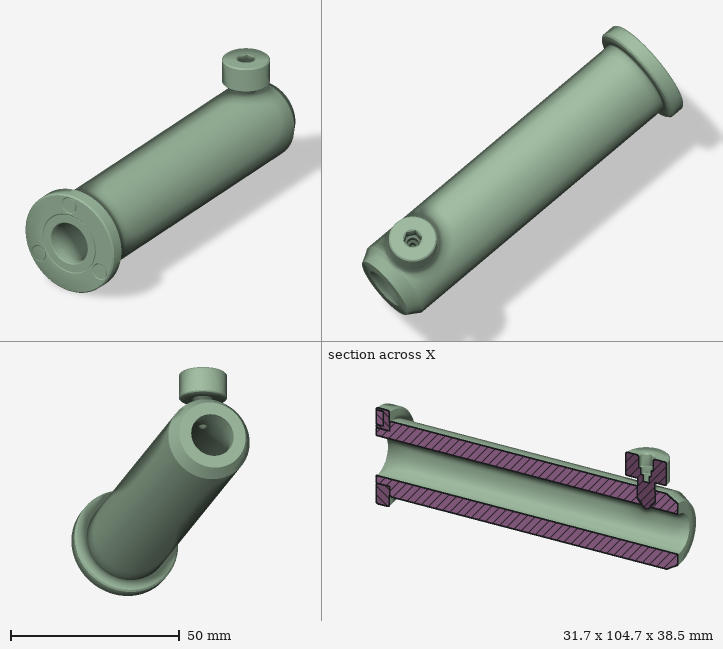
import cadquery as cq
import math

TUBE_LENGTH = 104.7
TUBE_RADIUS = 12.5
BORE_RADIUS = 6.5
BORE_CHAMFER = 0.2
SPIGOT_RADIUS = 9.2
SHOULDER_CHAMFER = 0.5
LEAD_IN_LENGTH = 4.0
LEAD_IN_ANGLE = 30.0
LEAD_IN_RADIUS = TUBE_RADIUS - LEAD_IN_LENGTH * math.tan(math.radians(LEAD_IN_ANGLE))

FLANGE_RADIUS = 15.86
FLANGE_THICKNESS = 4.7
FLANGE_FRONT_CHAMFER = 0.4
FLANGE_BACK_CHAMFER = 0.5
FLANGE_HOLE_CHAMFER = 0.3

PIN_COUNT = 3
PIN_RADIUS = 2.3
PIN_CIRCLE_RADIUS = 12.6
PIN_DEPTH = FLANGE_THICKNESS / 2
PIN_HOLE_CHAMFER = 0.3

SCREW_Y = TUBE_LENGTH - 11.1
OVERALL_HEIGHT = 38.5
HEAD_TOP = OVERALL_HEIGHT - FLANGE_RADIUS
HEAD_HEIGHT = 7.7
HEAD_BOTTOM = HEAD_TOP - HEAD_HEIGHT
HEAD_RADIUS = 7.1
HEAD_TOP_CHAMFER = 0.4
HEAD_BOTTOM_CHAMFER = 0.3
SHANK_RADIUS = 3.0
TIP_RADIUS = 1.5
TIP_REACH = 0.9
TIP_BOTTOM = BORE_RADIUS - TIP_REACH
DOME_TOP = TIP_BOTTOM + TIP_RADIUS
SHOULDER_TOP = DOME_TOP + SHANK_RADIUS - TIP_RADIUS
SOCKET_CORNER_RADIUS = 2.8
SOCKET_DEPTH = 4.0
SOCKET_COUNTERSINK_RADIUS = 2.9
PILOT_RADIUS = 1.8
PILOT_DEPTH = 2.1
PILOT_TIP_RADIUS = 0.9
PILOT_TIP_DEPTH = 2.1


def revolve_about_y(points):
    """Turn a closed outline of (radius, y) points about the tube axis."""
    return cq.Workplane("XY").polyline(points).close().revolve(360, (0, 0, 0), (0, 1, 0))


def cylinder_along_y(radius, length):
    """Cylinder about the tube axis, from the front face inwards."""
    return cq.Workplane("XZ").circle(radius).extrude(-length)


def pin_places():
    """(x, z) of each pin, the first one straight above the axis."""
    angles = [math.radians(90 + 360 / PIN_COUNT * i) for i in range(PIN_COUNT)]
    return [(PIN_CIRCLE_RADIUS * math.cos(a), PIN_CIRCLE_RADIUS * math.sin(a)) for a in angles]


def make_pin(x, z):
    """Plain pin, flush with the flange face."""
    return cylinder_along_y(PIN_RADIUS, PIN_DEPTH).translate((x, 0, z))


def make_pin_hole(x, z):
    """Cutter for one pin hole, widened at its mouth."""
    hole = revolve_about_y([
        (0, 0),
        (PIN_RADIUS + PIN_HOLE_CHAMFER, 0),
        (PIN_RADIUS, PIN_HOLE_CHAMFER),
        (PIN_RADIUS, PIN_DEPTH),
        (0, PIN_DEPTH),
    ])
    return hole.translate((x, 0, z))


def make_flange():
    """Flange disc with the spigot opening and the pin holes."""
    flange = cylinder_along_y(FLANGE_RADIUS, FLANGE_THICKNESS)
    flange = flange.faces("<Y").chamfer(FLANGE_FRONT_CHAMFER)
    flange = flange.faces(">Y").chamfer(FLANGE_BACK_CHAMFER)
    opening = revolve_about_y([
        (0, 0),
        (SPIGOT_RADIUS + FLANGE_HOLE_CHAMFER, 0),
        (SPIGOT_RADIUS, FLANGE_HOLE_CHAMFER),
        (SPIGOT_RADIUS, FLANGE_THICKNESS),
        (0, FLANGE_THICKNESS),
    ])
    flange = flange.cut(opening)
    for x, z in pin_places():
        flange = flange.cut(make_pin_hole(x, z))
    return flange


def make_screw_shank():
    """Shank with a domed tip and a 45 degree shoulder, up to the underside of the head."""
    shank = (
        cq.Workplane("XZ")
        .moveTo(0, TIP_BOTTOM)
        .radiusArc((TIP_RADIUS, DOME_TOP), -TIP_RADIUS)
        .lineTo(SHANK_RADIUS, SHOULDER_TOP)
        .lineTo(SHANK_RADIUS, HEAD_BOTTOM)
        .lineTo(0, HEAD_BOTTOM)
        .close()
        .revolve(360, (0, 0, 0), (0, 1, 0))
    )
    return shank.translate((0, SCREW_Y, 0))


def make_screw():
    """Socket-head screw: hexagon socket with a countersunk mouth and a stepped pilot hole."""
    head = cq.Workplane("XY", origin=(0, SCREW_Y, HEAD_BOTTOM)).circle(HEAD_RADIUS).extrude(HEAD_HEIGHT)
    head = head.faces(">Z").chamfer(HEAD_TOP_CHAMFER).faces("<Z").chamfer(HEAD_BOTTOM_CHAMFER)

    head_top = cq.Workplane("XY", origin=(0, SCREW_Y, HEAD_TOP))
    socket = head_top.polygon(6, 2 * SOCKET_CORNER_RADIUS).extrude(-SOCKET_DEPTH)
    countersink = head_top.circle(SOCKET_COUNTERSINK_RADIUS).extrude(-SOCKET_COUNTERSINK_RADIUS, taper=45)
    socket_floor = head_top.workplane(offset=-SOCKET_DEPTH)
    pilot = socket_floor.circle(PILOT_RADIUS).extrude(-PILOT_DEPTH)
    pilot_tip = socket_floor.circle(PILOT_TIP_RADIUS).extrude(-PILOT_DEPTH - PILOT_TIP_DEPTH)
    pilot = pilot.union(pilot_tip)
    return head.union(make_screw_shank()).cut(socket).cut(countersink).cut(pilot)


def make_tube():
    """Bored tube with a front spigot and a seat shaped to the screw shank."""
    tube = revolve_about_y([
        (BORE_RADIUS + BORE_CHAMFER, 0),
        (SPIGOT_RADIUS, 0),
        (SPIGOT_RADIUS, FLANGE_THICKNESS),
        (TUBE_RADIUS - SHOULDER_CHAMFER, FLANGE_THICKNESS),
        (TUBE_RADIUS, FLANGE_THICKNESS + SHOULDER_CHAMFER),
        (TUBE_RADIUS, TUBE_LENGTH - LEAD_IN_LENGTH),
        (LEAD_IN_RADIUS, TUBE_LENGTH),
        (BORE_RADIUS, TUBE_LENGTH),
        (BORE_RADIUS, BORE_CHAMFER),
    ])
    return tube.cut(make_screw_shank())


tube = make_tube()
flange = make_flange()
screw = make_screw()
pins = [make_pin(x, z) for x, z in pin_places()]

result = cq.Compound.makeCompound([
    tube.val(),
    flange.val(),
    screw.val(),
    *[pin.val() for pin in pins],
])